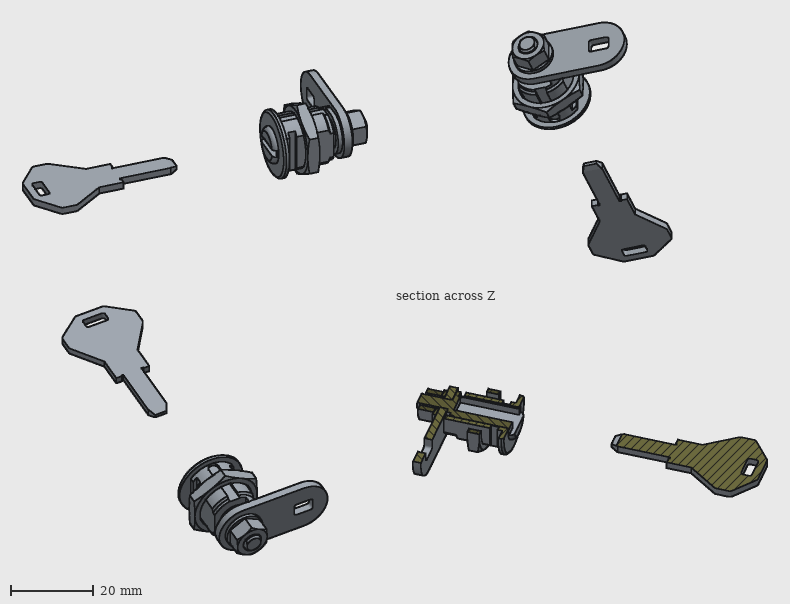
import cadquery as cq
import math


BODY_RADIUS = 7.1
BODY_FLAT = 5.5
BODY_END = 11.4
RING_RADIUS = 6.5
RING_START = 11.8
RING_END = 12.7
FLANGE_RADIUS = 8.6
FLANGE_THICKNESS = 1.3
FLANGE_CHAMFER = 0.5
BORE_RADIUS = 4.1
LUG_INNER_X = -3.0
LUG_END = 14.8
SIDE_SLOT_FACE = 4.5
SIDE_SLOT_START = 1.2
SIDE_SLOT_END = 3.1
GROOVE_WIDTH = 2.7
GROOVE_FLOOR = 6.3
END_NOTCH_FLOOR = 6.2

HEAD_RADIUS = 4.7
HEAD_FRONT = -2.6
HEAD_FACE_RADIUS = 3.7
HEAD_BULGE = 0.2
NECK_RADIUS = 3.85
NECK_CHAMFER_LENGTH = 0.5
STOP_RADIUS = 5.3
STOP_START = 13.9
STOP_END = 15.1
STUD_RADIUS = 2.45
STUD_FLAT = 1.8
STUD_END = 22.85
STUD_CHAMFER = 0.5
KEY_SLOT_DEPTH = 1.1
KEYWAY_LEFT = -1.6
KEYWAY_RIGHT = 3.4

PANEL_NUT_WIDTH = 17.0
PANEL_NUT_START = 4.8
PANEL_NUT_THICKNESS = 3.15
PANEL_NUT_CHAMFER = 0.4

CAM_RADIUS = 6.6
CAM_REACH = 16.5
CAM_THICKNESS = 2.1
CAM_SLOT_LENGTH = 5.1
CAM_SLOT_WIDTH = 3.5
CAM_SLOT_FILLET = 0.7

WASHER_RADIUS = 4.9
WASHER_THICKNESS = 0.9
HEX_NUT_WIDTH = 8.1
HEX_NUT_HEIGHT = 3.9
HEX_NUT_CHAMFER = 0.35

OVERALL_LENGTH = 87.6
KEY_THICKNESS = 1.8
KEY_LENGTH = 38.1
BLADE_WIDTH = 5.0
SHOULDER_WIDTH = 9.0
BOW_WIDTH = 20.1
BOW_END_WIDTH = 7.7
BOW_LOWER_CORNER = 5.0
BOW_UPPER_CORNER = 8.9
NECK_BASE = 16.8
SHOULDER_HEIGHT = 23.1
BOW_SIDE_FILLET = 1.05
BOW_END_FILLET = 1.05
RELIEF_WIDTH = 0.4
RELIEF_DEPTH = 0.3
TIP_WIDTH = 3.15
TIP_THICKNESS = 0.9
TIP_SIDE_TAPER = 1.9
TIP_FACE_TAPER = 1.6
RING_HOLE_LENGTH = 5.95
RING_HOLE_WIDTH = 2.6
RING_HOLE_BASE = 2.0
RING_HOLE_FILLET = 0.5

FLANGE_FRONT = -FLANGE_THICKNESS
CAM_START = STOP_END
WASHER_START = CAM_START + CAM_THICKNESS
HEX_NUT_START = WASHER_START + WASHER_THICKNESS
BLADE_LENGTH = KEY_LENGTH - SHOULDER_HEIGHT
KEY_END_Y = STUD_END - OVERALL_LENGTH
CLEAR = 26.3


def facing_rear(y):
    """Work plane across the lock axis at y; a negative extrusion goes toward +Y."""
    return cq.Workplane("XZ", origin=(0, y, 0))


def cylinder(radius, start, end):
    return facing_rear(start).circle(radius).extrude(start - end)


def turned(profile):
    """Solid of revolution about the Y axis from (radius, y) points."""
    return cq.Workplane("XY").polyline(profile).close().revolve(360, (0, 0, 0), (0, 1, 0))


def block(x_range, y_range, z_range):
    sizes = [high - low for low, high in (x_range, y_range, z_range)]
    corner = (x_range[0], y_range[0], z_range[0])
    return cq.Workplane("XY").box(*sizes, centered=False).translate(corner)


def corner_diameter(width):
    """Diameter across the corners of a hexagon with the given width across flats."""
    return width / math.cos(math.pi / 6)


def hexagon(width, start, length):
    """Hexagonal prism along Y with corners up and down."""
    prism = facing_rear(start).polygon(6, corner_diameter(width)).extrude(-length)
    return prism.rotate((0, 0, 0), (0, 1, 0), 30)


def double_d(start, end):
    """Round bar with two flats, the section shared by the stud and the cam hole."""
    bar = cylinder(STUD_RADIUS, start, end)
    return bar.intersect(block((-STUD_FLAT, STUD_FLAT), (start, end), (-CLEAR, CLEAR)))


def make_housing():
    housing = turned([
        (0, 0), (BODY_RADIUS, 0), (BODY_RADIUS, BODY_END), (RING_RADIUS, RING_START),
        (RING_RADIUS, RING_END), (0, RING_END),
    ])

    lug = cylinder(RING_RADIUS, RING_END, LUG_END)
    lug_limit = block((-CLEAR, LUG_INNER_X), (RING_END, LUG_END), (-CLEAR, CLEAR))
    housing = housing.union(lug.intersect(lug_limit))

    housing = housing.intersect(
        block((-BODY_FLAT, BODY_FLAT), (0, LUG_END), (-CLEAR, CLEAR))
    )

    side_slot = block(
        (SIDE_SLOT_FACE, CLEAR), (SIDE_SLOT_START, SIDE_SLOT_END), (-CLEAR, CLEAR)
    )
    housing = housing.cut(side_slot).cut(side_slot.mirror("YZ"))

    groove = (
        cq.Workplane("XY", origin=(0, RING_START / 2, GROOVE_FLOOR))
        .slot2D(RING_START, GROOVE_WIDTH, 90)
        .extrude(BODY_RADIUS)
    )
    half_groove = GROOVE_WIDTH / 2
    notch = block(
        (-half_groove, half_groove), (RING_START / 2, RING_END), (END_NOTCH_FLOOR, CLEAR)
    )
    channel = groove.union(notch)
    housing = housing.cut(channel).cut(channel.mirror("XY"))

    flange = cylinder(FLANGE_RADIUS, FLANGE_FRONT, 0).faces("<Y").chamfer(FLANGE_CHAMFER)
    return housing.union(flange).cut(cylinder(BORE_RADIUS, FLANGE_FRONT, LUG_END))


def make_plug():
    mid_radius = (HEAD_RADIUS + HEAD_FACE_RADIUS) / 2 + HEAD_BULGE
    mid_y = (HEAD_FRONT + FLANGE_FRONT) / 2 - HEAD_BULGE
    head = (
        cq.Workplane("XY")
        .moveTo(0, FLANGE_FRONT)
        .lineTo(HEAD_RADIUS, FLANGE_FRONT)
        .threePointArc((mid_radius, mid_y), (HEAD_FACE_RADIUS, HEAD_FRONT))
        .lineTo(0, HEAD_FRONT)
        .close()
        .revolve(360, (0, 0, 0), (0, 1, 0))
    )

    neck_start = RING_END + NECK_CHAMFER_LENGTH
    barrel = turned([
        (0, FLANGE_FRONT), (BORE_RADIUS, FLANGE_FRONT), (BORE_RADIUS, RING_END),
        (NECK_RADIUS, neck_start), (NECK_RADIUS, STOP_START), (0, STOP_START),
    ])

    stop = cylinder(STOP_RADIUS, STOP_START, STOP_END).union(
        block((LUG_INNER_X, 0), (STOP_START, STOP_END), (-STOP_RADIUS, STOP_RADIUS))
    )
    stop = stop.cut(block((-CLEAR, LUG_INNER_X), (STOP_START, STOP_END), (-CLEAR, CLEAR)))

    stud_tip = cylinder(STUD_RADIUS, STOP_END, STUD_END).faces(">Y").chamfer(STUD_CHAMFER)
    stud = double_d(STOP_END, STUD_END).intersect(stud_tip)

    half_slot = KEY_THICKNESS / 2
    slot_floor = HEAD_FRONT + KEY_SLOT_DEPTH
    slot = block((-CLEAR, CLEAR), (HEAD_FRONT, slot_floor), (-half_slot, half_slot))
    keyway = block(
        (KEYWAY_LEFT, KEYWAY_RIGHT),
        (HEAD_FRONT, slot_floor + BLADE_LENGTH),
        (-half_slot, half_slot),
    )
    return head.union(barrel).union(stop).union(stud).cut(slot).cut(keyway)


def make_panel_nut():
    nut = hexagon(PANEL_NUT_WIDTH, PANEL_NUT_START, PANEL_NUT_THICKNESS)
    nut_end = PANEL_NUT_START + PANEL_NUT_THICKNESS
    face_radius = PANEL_NUT_WIDTH / 2
    corner_radius = corner_diameter(PANEL_NUT_WIDTH) / 2
    chamfer_envelope = turned([
        (0, PANEL_NUT_START), (face_radius, PANEL_NUT_START),
        (corner_radius, PANEL_NUT_START + PANEL_NUT_CHAMFER),
        (corner_radius, nut_end - PANEL_NUT_CHAMFER),
        (face_radius, nut_end), (0, nut_end),
    ])
    return nut.intersect(chamfer_envelope).cut(cylinder(BODY_RADIUS, PANEL_NUT_START, nut_end))


def make_cam():
    cam = (
        facing_rear(CAM_START)
        .center(-CAM_REACH / 2, 0)
        .slot2D(CAM_REACH + 2 * CAM_RADIUS, 2 * CAM_RADIUS)
        .extrude(-CAM_THICKNESS)
    )
    slot = (
        facing_rear(CAM_START)
        .center(-CAM_REACH, 0)
        .rect(CAM_SLOT_LENGTH, CAM_SLOT_WIDTH)
        .extrude(-CAM_THICKNESS)
        .edges("|Y")
        .fillet(CAM_SLOT_FILLET)
    )
    return cam.cut(slot).cut(double_d(CAM_START, WASHER_START))


def make_washer():
    washer = cylinder(WASHER_RADIUS, WASHER_START, HEX_NUT_START)
    return washer.cut(cylinder(STUD_RADIUS, WASHER_START, HEX_NUT_START))


def make_hex_nut():
    nut = hexagon(HEX_NUT_WIDTH, HEX_NUT_START, HEX_NUT_HEIGHT)
    nut_end = HEX_NUT_START + HEX_NUT_HEIGHT
    face_radius = HEX_NUT_WIDTH / 2
    corner_radius = corner_diameter(HEX_NUT_WIDTH) / 2
    chamfer_envelope = turned([
        (0, HEX_NUT_START), (corner_radius, HEX_NUT_START),
        (corner_radius, nut_end - HEX_NUT_CHAMFER),
        (face_radius, nut_end), (0, nut_end),
    ])
    return nut.intersect(chamfer_envelope).cut(cylinder(STUD_RADIUS, HEX_NUT_START, nut_end))


def make_key():
    """Flat key, drawn with its bow end at Y = 0 and then moved in front of the lock."""
    blade_side = BLADE_WIDTH / 2
    relief_side = blade_side + RELIEF_WIDTH
    relief_floor = SHOULDER_HEIGHT - RELIEF_DEPTH
    right_side = [
        (BOW_END_WIDTH / 2, 0),
        (BOW_WIDTH / 2, BOW_LOWER_CORNER),
        (BOW_WIDTH / 2, BOW_UPPER_CORNER),
        (SHOULDER_WIDTH / 2, NECK_BASE),
        (SHOULDER_WIDTH / 2, SHOULDER_HEIGHT),
        (relief_side, SHOULDER_HEIGHT),
        (relief_side, relief_floor),
        (blade_side, relief_floor),
        (blade_side, KEY_LENGTH - TIP_SIDE_TAPER),
        (TIP_WIDTH / 2, KEY_LENGTH),
    ]
    left_side = [(-x, y) for x, y in reversed(right_side)]
    half_thickness = KEY_THICKNESS / 2
    key = (
        cq.Workplane("XY", origin=(0, 0, -half_thickness))
        .polyline(right_side + left_side)
        .close()
        .extrude(KEY_THICKNESS)
    )
    key = key.edges("|Z and (>X or <X)").fillet(BOW_SIDE_FILLET)
    key = key.edges("|Z and <Y").fillet(BOW_END_FILLET)

    half_tip = TIP_THICKNESS / 2
    taper_start = KEY_LENGTH - TIP_FACE_TAPER
    tip_cutter = (
        cq.Workplane("YZ", origin=(-BLADE_WIDTH / 2, 0, 0))
        .polyline([
            (taper_start, half_thickness), (KEY_LENGTH, half_tip), (KEY_LENGTH, half_thickness),
        ])
        .close()
        .extrude(BLADE_WIDTH)
    )
    key = key.cut(tip_cutter).cut(tip_cutter.mirror("XY"))

    ring_hole = (
        cq.Workplane("XY", origin=(0, RING_HOLE_BASE + RING_HOLE_WIDTH / 2, -half_thickness))
        .rect(RING_HOLE_LENGTH, RING_HOLE_WIDTH)
        .extrude(KEY_THICKNESS)
        .edges("|Z")
        .fillet(RING_HOLE_FILLET)
    )
    return key.cut(ring_hole).translate((0, KEY_END_Y, 0))


housing = make_housing()
plug = make_plug()
panel_nut = make_panel_nut()
cam = make_cam()
washer = make_washer()
hex_nut = make_hex_nut()
key = make_key()

result = cq.Compound.makeCompound([
    housing.val(), plug.val(), panel_nut.val(), cam.val(), washer.val(), hex_nut.val(), key.val(),
])